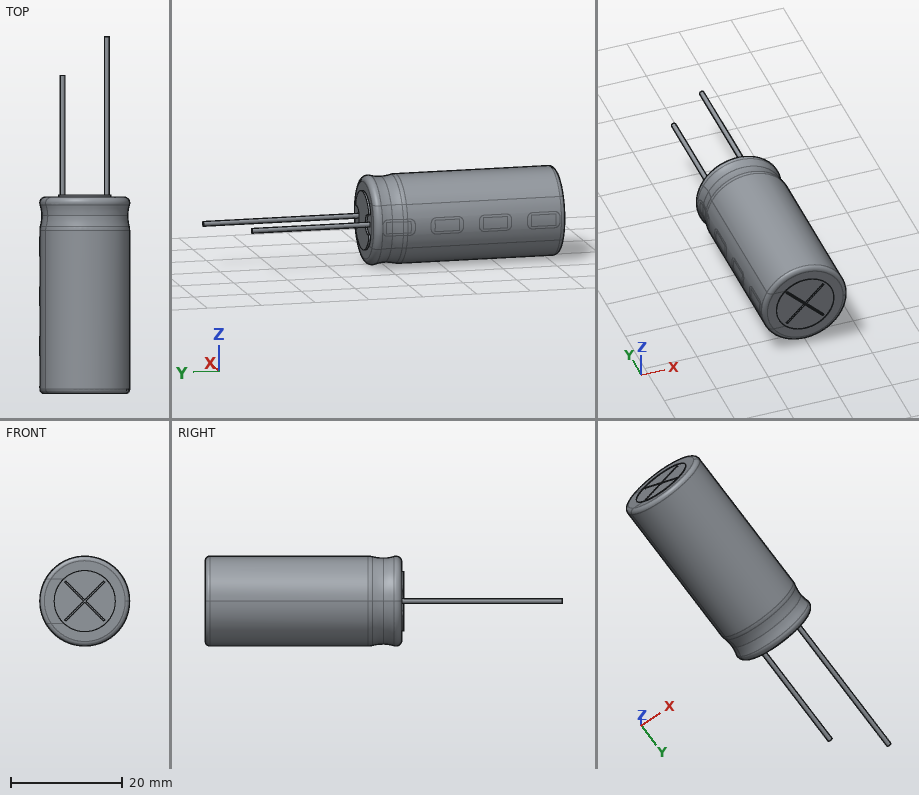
import cadquery as cq
import math


can_diameter = 16.2
can_length = 35.4
overall_length = 64.25

bung_radius = 5.35
bung_height = 0.35
bung_notch_radius = 1.8
bung_corner_radius = 0.6

lead_diameter = 0.9
lead_pitch = 8.0
lead_length_difference = 7.0
lead_embedment = 1.0

bottom_fillet = 0.83
bead_radius = 1.1
groove_depth = 0.34
groove_centre = 32.06
groove_shoulder = 29.33
shoulder_inflection = 30.1

sleeve_opening_radius = 5.5
sleeve_thickness = 0.1
vent_length = 9.9
vent_width = 0.3
vent_depth = 0.4
vent_angle = 45

stripe_width = 8.0
mark_count = 4
mark_pitch = 8.95
first_mark_centre = 4.1
mark_length = 6.0
mark_height = 3.0
mark_corner_radius = 1.0
bar_length = 4.5
bar_height = 2.1

can_radius = can_diameter / 2
can_top = -bung_height
can_bottom = can_top - can_length
long_lead_end = can_bottom + overall_length
short_lead_end = long_lead_end - lead_length_difference


def disc(radius, y_start, y_end):
    """Cylinder on the Y axis."""
    return cq.Workplane("XZ", origin=(0, y_start, 0)).circle(radius).extrude(y_start - y_end)


def make_can():
    """Revolved can with a rounded bottom, a rolled groove and a rounded bead at the lead end."""
    groove_radius = can_radius - groove_depth
    groove_y = can_bottom + groove_centre
    shoulder_y = can_bottom + groove_shoulder
    bead_crown_y = can_top - bead_radius

    shoulder_share = (shoulder_inflection - groove_shoulder) / (groove_centre - groove_shoulder)
    shoulder_meeting = (
        can_radius - groove_depth * shoulder_share,
        can_bottom + shoulder_inflection,
    )
    bead_slope_angle = 2 * math.atan(groove_depth / (bead_crown_y - groove_y))
    bead_meeting = (
        can_radius - bead_radius * (1 - math.cos(bead_slope_angle)),
        bead_crown_y - bead_radius * math.sin(bead_slope_angle),
    )

    profile = (
        cq.Workplane("XY")
        .moveTo(0, can_bottom)
        .lineTo(can_radius - bottom_fillet, can_bottom)
        .tangentArcPoint((can_radius, can_bottom + bottom_fillet), relative=False)
        .lineTo(can_radius, shoulder_y)
        .tangentArcPoint(shoulder_meeting, relative=False)
        .tangentArcPoint((groove_radius, groove_y), relative=False)
        .tangentArcPoint(bead_meeting, relative=False)
        .tangentArcPoint((can_radius - bead_radius, can_top), relative=False)
        .lineTo(0, can_top)
        .close()
    )
    return profile.revolve(360, (0, 0, 0), (0, 1, 0))


def make_bung():
    """Raised bung face with a rounded notch around each lead."""
    bung = disc(bung_radius, can_top, 0)
    notches = (
        cq.Workplane("XZ", origin=(0, can_top, 0))
        .pushPoints([(-lead_pitch / 2, 0), (lead_pitch / 2, 0)])
        .circle(bung_notch_radius)
        .extrude(-bung_height)
    )
    notched = bung.cut(notches)
    notch_corners = cq.selectors.BoxSelector(
        (-bung_radius, can_top, -bung_radius), (bung_radius, 0, bung_radius)
    )
    return notched.edges("|Y").edges(notch_corners).fillet(bung_corner_radius)


def make_lead(x, y_end):
    """Straight round wire starting inside the can."""
    y_start = can_top - lead_embedment
    return disc(lead_diameter / 2, y_start, y_end).translate((x, 0, 0))


def make_vent():
    """Cross of two diagonal grooves, sunk below the exposed can bottom."""
    vent_floor = can_bottom + sleeve_thickness + vent_depth
    bar = cq.Workplane("XY").box(vent_length, vent_floor - can_bottom, vent_width)
    bar = bar.translate((0, (can_bottom + vent_floor) / 2, 0))
    first_bar = bar.rotate((0, 0, 0), (0, 1, 0), vent_angle)
    second_bar = bar.rotate((0, 0, 0), (0, 1, 0), -vent_angle)
    return first_bar.union(second_bar)


def stripe_block(length, height, y_centre, x_inner):
    """Block reaching from x_inner out past the -X side of the can."""
    depth = can_diameter
    block = cq.Workplane("XY").box(depth, length, height)
    return block.translate((x_inner - depth / 2, y_centre, 0))


def imprint(body, block):
    """Divide the surface of the body along the block without changing its shape."""
    return body.union(body.intersect(block), clean=False)


def imprint_polarity_stripe(body):
    """Flush stripe along the can with a row of rounded marks, each holding a bar."""
    can_middle = (can_top + can_bottom) / 2
    stripe = stripe_block(can_length, stripe_width, can_middle, 0)
    body = imprint(body, stripe.cut(disc(sleeve_opening_radius, can_bottom, can_top)))

    for index in range(mark_count):
        y_centre = can_bottom + first_mark_centre + index * mark_pitch
        mark = stripe_block(mark_length, mark_height, y_centre, -sleeve_opening_radius)
        mark = mark.edges("|X").fillet(mark_corner_radius)
        body = imprint(body, mark)
        body = imprint(body, stripe_block(bar_length, bar_height, y_centre, -sleeve_opening_radius))
    return body


sleeve_opening = disc(sleeve_opening_radius, can_bottom, can_bottom + sleeve_thickness)

can = make_can().cut(sleeve_opening).cut(make_vent())
can = can.union(make_bung())
can = can.union(make_lead(-lead_pitch / 2, short_lead_end))
can = can.union(make_lead(lead_pitch / 2, long_lead_end))

result = imprint_polarity_stripe(can)